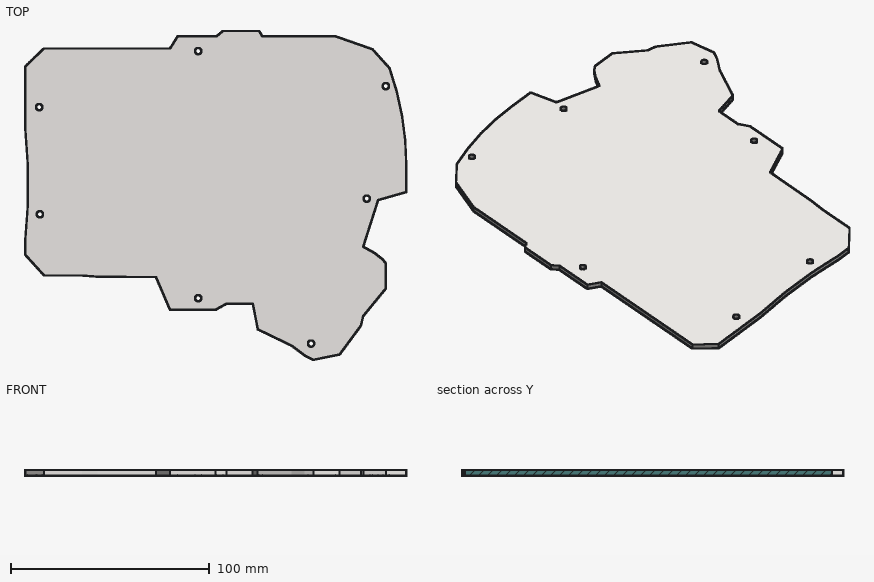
import cadquery as cq

length = 192.0
width = 165.7
thickness = 3.0
hole_diameter = 3.0

left_shoulder_y = 156.9
top_shoulder_y = 163.0
bottom_shoulder_y = 25.2
bottom_step_y = 28.2
lobe_right_x = 181.6

recess_depth = 1.3
recess_bend_depth = 1.0

bow_start = (183.5, 146.9)
bow_middle = (189.9, 122.7)
bow_end = (length, 98.3)

left_and_top_edges = [
    (0, 53.0),
    (0, 60.0),
    (recess_bend_depth, 73.0),
    (recess_depth, 78.7),
    (recess_depth, 97.5),
    (recess_bend_depth, 103.3),
    (0, 117.0),
    (0, 147.6),
    (9.5, left_shoulder_y),
    (73.0, left_shoulder_y),
    (76.8, top_shoulder_y),
    (96.4, top_shoulder_y),
    (99.6, width),
    (117.9, width),
    (119.5, top_shoulder_y),
    (156.3, top_shoulder_y),
    (174.9, 156.5),
    bow_start,
]

notch_and_lobe = [
    (length, 84.5),
    (177.8, 80.5),
    (170.3, 57.0),
    (175.9, 54.0),
    (180.3, 50.5),
    (lobe_right_x, 48.5),
    (lobe_right_x, 35.9),
    (170.3, 22.0),
    (169.1, 17.3),
    (158.4, 2.7),
    (145.1, 0),
    (141.0, 2.1),
    (134.2, 7.1),
    (117.1, 15.4),
    (114.6, bottom_step_y),
]

bottom_edges = [
    (101.4, bottom_step_y),
    (95.8, bottom_shoulder_y),
    (73.0, bottom_shoulder_y),
    (65.9, 41.7),
    (36.5, 41.9),
    (28.8, 42.5),
    (9.6, 42.5),
]

hole_centers = [
    (7.1, 127.3),
    (7.5, 73.3),
    (87.2, 155.5),
    (87.2, 31.1),
    (144.0, 8.3),
    (172.0, 81.2),
    (181.6, 137.8),
]


def plate_blank():
    """Extrude the outline of the plate."""
    outline = cq.Workplane("XY").polyline(left_and_top_edges)
    outline = outline.threePointArc(bow_middle, bow_end)
    outline = outline.polyline(notch_and_lobe + bottom_edges, includeCurrent=True)
    return outline.close().extrude(thickness)


def mounting_holes():
    """Cylinders that cut the mounting holes through the plate."""
    return cq.Workplane("XY").pushPoints(hole_centers).circle(hole_diameter / 2).extrude(thickness)


result = plate_blank().cut(mounting_holes())